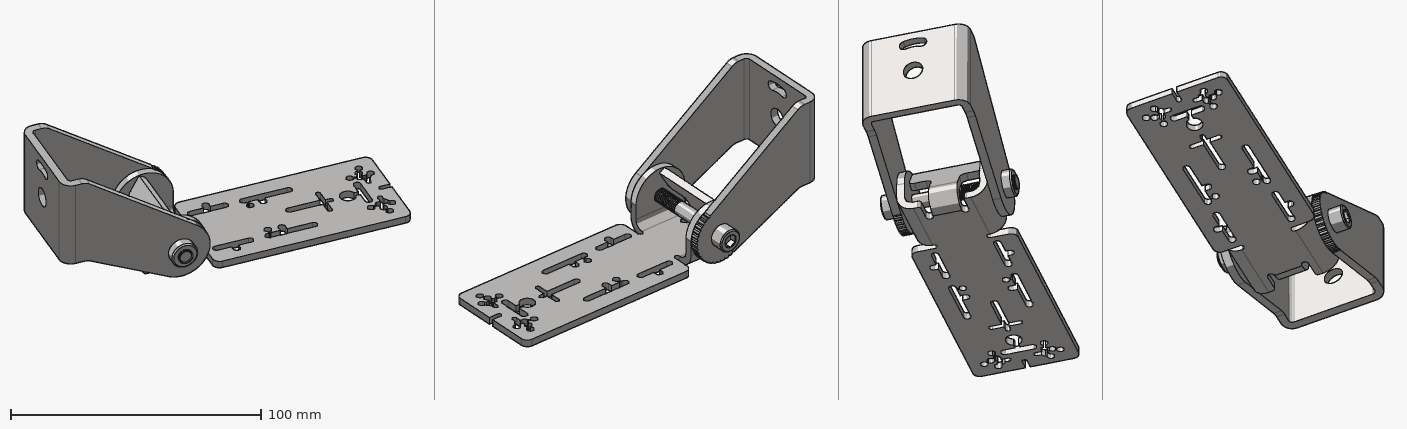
import cadquery as cq
import math

AXIS_HEIGHT = 13.41

BRACKET_WIDTH = 45.0
BRACKET_SHEET = 3.5
BRACKET_BEND = 5.0
OVERALL_LENGTH = 151.18
FLANGE_Y = -50.85
FLANGE_TOP = AXIS_HEIGHT + 44.5
FLANGE_BOTTOM = AXIS_HEIGHT + 6.25
ARM_END_RADIUS = 12.5
ARM_UPPER_CORNER_Y = -41.2
ARM_LOWER_CORNER_Y = -40.5
ARM_CORNER_FILLET = 6.0
FLANGE_HOLE_DIAMETER = 8.0
FLANGE_HOLE_Z = AXIS_HEIGHT + 25.4
ARC_SLOT_RADIUS = 13.9
ARC_SLOT_WIDTH = 4.0
ARC_SLOT_HALF_SPAN = 3.7
NOTCH_STEP = 10
NOTCH_FIRST_ANGLE = -120
NOTCH_LAST_ANGLE = 60
NOTCH_HALF_WIDTH = 0.6
NOTCH_DEPTH = 0.4

PLATE_END_Y = FLANGE_Y + OVERALL_LENGTH
PLATE_HALF_WIDTH = 22.2
PLATE_SHEET = 3.2
PLATE_CORNER = 3.0
PLATE_BEND = 7.0
EAR_OUTER_X = BRACKET_WIDTH / 2 - BRACKET_SHEET
EAR_RADIUS = 12.65
NECK_HALF_WIDTH = 10.5
NECK_SLOT_WIDTH = 2.25
EAR_FOOT_CORNER = 1.2

TONGUE_ANGLE = 60
TONGUE_HALF_WIDTH = 6.0
TONGUE_RELIEF_WIDTH = 3.0
TONGUE_BEND_Y = -4.95
TONGUE_RELIEF_END_Y = -4.0
FLAP_HALF_WIDTH = EAR_OUTER_X - PLATE_SHEET
FLAP_START = 7.4
FLAP_END = 17.6
FLAP_CORNER = 2.5

HOLE = 3.0
WIDE_SLOT = 3.0
NARROW_SLOT = 2.0
LINK_WIDTH = 1.8
THIN_NECK = 0.8
SIDE_SLOT_X = 13.05

BOLT_DIAMETER = 6.0
BOLT_LENGTH = 50.0
THREAD_LENGTH = 24.0
THREAD_PITCH = 1.0
THREAD_CREST = THREAD_PITCH / 8
THREAD_ROOT = THREAD_PITCH / 4
THREAD_DEPTH = 0.54 * THREAD_PITCH
HEAD_DIAMETER = 10.0
HEAD_HEIGHT = 6.0
HEAD_CHAMFER = 0.5
SOCKET_FLATS = 5.0
SOCKET_DEPTH = 3.0
SOCKET_COUNTERSINK = 0.3
NUT_DIAMETER = 11.2
NUT_HEIGHT = 4.1
NUT_CHAMFER = 0.6


def tangent_point(corner, radius, side):
    """Point where a line from corner touches the circle of this radius about the origin."""
    heading = math.atan2(corner[1], corner[0])
    angle = heading + side * math.acos(radius / math.hypot(*corner))
    return radius * math.cos(angle), radius * math.sin(angle)


def bolt_bore():
    """Cylinder along the hinge axis that drills the bolt hole."""
    return (
        cq.Workplane("YZ")
        .center(0, AXIS_HEIGHT)
        .circle(BOLT_DIAMETER / 2)
        .extrude(BOLT_LENGTH, both=True)
    )


def arm_outline():
    """Side outline of the bracket, as a solid wider than the bracket."""
    upper_corner = (ARM_UPPER_CORNER_Y, FLANGE_TOP - AXIS_HEIGHT)
    lower_corner = (ARM_LOWER_CORNER_Y, FLANGE_BOTTOM - AXIS_HEIGHT)
    upper_tangent = tangent_point(upper_corner, ARM_END_RADIUS, -1)
    lower_tangent = tangent_point(lower_corner, ARM_END_RADIUS, 1)
    outline = (
        cq.Workplane("YZ", origin=(0, 0, AXIS_HEIGHT))
        .moveTo(FLANGE_Y, upper_corner[1])
        .lineTo(*upper_corner)
        .lineTo(*upper_tangent)
        .threePointArc((ARM_END_RADIUS, 0), lower_tangent)
        .lineTo(*lower_corner)
        .lineTo(FLANGE_Y, lower_corner[1])
        .close()
        .extrude(BRACKET_WIDTH, both=True)
    )
    for corner_y, corner_z in (upper_corner, lower_corner):
        corner_edge = cq.selectors.NearestToPointSelector((0, corner_y, AXIS_HEIGHT + corner_z))
        outline = outline.edges("|X").edges(corner_edge).fillet(ARM_CORNER_FILLET)
    return outline


def bent_channel():
    """U-shaped sheet seen from above, open toward +Y."""
    height = FLANGE_TOP
    outer = (
        cq.Workplane("XY")
        .rect(BRACKET_WIDTH, -2 * FLANGE_Y)
        .extrude(height)
        .edges("|Z and <Y")
        .fillet(BRACKET_BEND)
    )
    inner = (
        cq.Workplane("XY")
        .center(0, BRACKET_SHEET)
        .rect(BRACKET_WIDTH - 2 * BRACKET_SHEET, -2 * FLANGE_Y)
        .extrude(height)
        .edges("|Z and <Y")
        .fillet(BRACKET_BEND - BRACKET_SHEET)
    )
    return outer.cut(inner)


def flange_openings():
    """Round hole and the arc slot concentric with it."""
    half_angle = math.asin(ARC_SLOT_HALF_SPAN / ARC_SLOT_RADIUS)
    outer = ARC_SLOT_RADIUS + ARC_SLOT_WIDTH / 2
    inner = ARC_SLOT_RADIUS - ARC_SLOT_WIDTH / 2
    sine = math.sin(half_angle)
    cosine = math.cos(half_angle)
    cap_x = ARC_SLOT_HALF_SPAN + ARC_SLOT_WIDTH / 2 * cosine
    cap_z = ARC_SLOT_RADIUS * cosine - ARC_SLOT_WIDTH / 2 * sine
    face = cq.Workplane("XZ", origin=(0, FLANGE_Y + BRACKET_SHEET, FLANGE_HOLE_Z))
    hole = face.circle(FLANGE_HOLE_DIAMETER / 2).extrude(BRACKET_SHEET)
    slot = (
        face.moveTo(-outer * sine, outer * cosine)
        .threePointArc((0, outer), (outer * sine, outer * cosine))
        .threePointArc((cap_x, cap_z), (inner * sine, inner * cosine))
        .threePointArc((0, inner), (-inner * sine, inner * cosine))
        .threePointArc((-cap_x, cap_z), (-outer * sine, outer * cosine))
        .close()
        .extrude(BRACKET_SHEET)
    )
    return hole.union(slot)


def angle_notches():
    """V notches of the angle scale around the rounded end of the -X arm."""
    notch = (
        cq.Workplane("YZ", origin=(-BRACKET_WIDTH / 2, 0, AXIS_HEIGHT))
        .polyline([
            (ARM_END_RADIUS - NOTCH_DEPTH, 0),
            (ARM_END_RADIUS + NOTCH_DEPTH, 2 * NOTCH_HALF_WIDTH),
            (ARM_END_RADIUS + NOTCH_DEPTH, -2 * NOTCH_HALF_WIDTH),
        ])
        .close()
        .extrude(BRACKET_SHEET)
    )
    axis_start = (0, 0, AXIS_HEIGHT)
    axis_end = (1, 0, AXIS_HEIGHT)
    notches = cq.Workplane("XY")
    for angle in range(NOTCH_FIRST_ANGLE, NOTCH_LAST_ANGLE + 1, NOTCH_STEP):
        notches.add(notch.rotate(axis_start, axis_end, angle))
    return notches.combine()


def make_bracket():
    bracket = bent_channel().intersect(arm_outline())
    bracket = bracket.cut(flange_openings()).cut(angle_notches())
    return bracket.cut(bolt_bore())


def flat_plate():
    """Slotted field of the plate and the neck that joins it to the hinge end."""
    field_start = EAR_RADIUS + NECK_SLOT_WIDTH
    field_length = PLATE_END_Y - field_start
    field = (
        cq.Workplane("XY")
        .center(0, field_start + field_length / 2)
        .rect(2 * PLATE_HALF_WIDTH, field_length)
        .extrude(PLATE_SHEET)
        .edges("|Z")
        .fillet(PLATE_CORNER)
    )
    neck = (
        cq.Workplane("XY")
        .center(0, EAR_RADIUS + NECK_SLOT_WIDTH / 2)
        .rect(2 * NECK_HALF_WIDTH + NECK_SLOT_WIDTH, NECK_SLOT_WIDTH)
        .extrude(PLATE_SHEET)
    )
    for side in (-1, 1):
        slot_end = (
            cq.Workplane("XY")
            .center(side * (NECK_HALF_WIDTH + NECK_SLOT_WIDTH / 2), EAR_RADIUS + NECK_SLOT_WIDTH / 2)
            .circle(NECK_SLOT_WIDTH / 2)
            .extrude(PLATE_SHEET)
        )
        neck = neck.cut(slot_end)
    return field.union(neck)


def hinge_channel():
    """Floor of the hinge with the two ears bent upward and rounded about the axis."""
    height = AXIS_HEIGHT + EAR_RADIUS
    outer = (
        cq.Workplane("XY")
        .rect(2 * EAR_OUTER_X, 2 * EAR_RADIUS)
        .extrude(height)
        .edges("|Y and <Z")
        .fillet(PLATE_BEND)
    )
    inner = (
        cq.Workplane("XY", origin=(0, 0, PLATE_SHEET))
        .rect(2 * (EAR_OUTER_X - PLATE_SHEET), 2 * EAR_RADIUS)
        .extrude(height)
        .edges("|Y and <Z")
        .fillet(PLATE_BEND - PLATE_SHEET)
    )
    ear_outline = (
        cq.Workplane("YZ")
        .moveTo(-EAR_RADIUS, 0)
        .lineTo(-EAR_RADIUS, AXIS_HEIGHT)
        .threePointArc((0, height), (EAR_RADIUS, AXIS_HEIGHT))
        .lineTo(EAR_RADIUS, 0)
        .close()
        .extrude(EAR_OUTER_X, both=True)
    )
    return outer.cut(inner).intersect(ear_outline).cut(tongue_opening())


def tongue_opening():
    """Gap in the floor for the tongue, with round-ended reliefs and rounded foot corners."""
    outer_x = TONGUE_HALF_WIDTH + TONGUE_RELIEF_WIDTH
    end_radius = TONGUE_RELIEF_WIDTH / 2
    end_center_y = TONGUE_RELIEF_END_Y - end_radius
    opening = (
        cq.Workplane("XY")
        .moveTo(-outer_x, -EAR_RADIUS)
        .lineTo(-outer_x, end_center_y)
        .threePointArc((-outer_x + end_radius, TONGUE_RELIEF_END_Y), (-TONGUE_HALF_WIDTH, end_center_y))
        .lineTo(TONGUE_HALF_WIDTH, end_center_y)
        .threePointArc((outer_x - end_radius, TONGUE_RELIEF_END_Y), (outer_x, end_center_y))
        .lineTo(outer_x, -EAR_RADIUS)
        .close()
        .extrude(PLATE_SHEET)
    )
    for side in (-1, 1):
        foot_x = side * outer_x
        corner = (
            cq.Workplane("XY")
            .moveTo(foot_x, -EAR_RADIUS)
            .lineTo(foot_x + side * EAR_FOOT_CORNER, -EAR_RADIUS)
            .radiusArc((foot_x, -EAR_RADIUS + EAR_FOOT_CORNER), side * EAR_FOOT_CORNER)
            .close()
            .extrude(PLATE_SHEET)
        )
        opening = opening.union(corner)
    return opening


def bend_point(radius, angle):
    """Point on the tongue bend, with the angle in degrees swept from the floor."""
    swept = math.radians(angle)
    return TONGUE_BEND_Y - radius * math.sin(swept), PLATE_BEND - radius * math.cos(swept)


def make_tongue():
    """Strip that curls up from the floor and leans back, ending in a wide flap."""
    sweep = 180 - TONGUE_ANGLE
    inner_radius = PLATE_BEND - PLATE_SHEET
    curl = (
        cq.Workplane("YZ")
        .moveTo(TONGUE_RELIEF_END_Y, 0)
        .lineTo(TONGUE_BEND_Y, 0)
        .threePointArc(bend_point(PLATE_BEND, sweep / 2), bend_point(PLATE_BEND, sweep))
        .lineTo(*bend_point(inner_radius, sweep))
        .threePointArc(bend_point(inner_radius, sweep / 2), bend_point(inner_radius, 0))
        .lineTo(TONGUE_RELIEF_END_Y, PLATE_SHEET)
        .close()
        .extrude(TONGUE_HALF_WIDTH, both=True)
    )
    lean = math.radians(TONGUE_ANGLE)
    front_face = cq.Plane(
        origin=(0, *bend_point(PLATE_BEND, sweep)),
        xDir=(1, 0, 0),
        normal=(0, -math.sin(lean), math.cos(lean)),
    )
    flap = (
        cq.Workplane(front_face)
        .moveTo(-TONGUE_HALF_WIDTH, 0)
        .lineTo(-TONGUE_HALF_WIDTH, FLAP_START - FLAP_CORNER)
        .radiusArc((-TONGUE_HALF_WIDTH - FLAP_CORNER, FLAP_START), -FLAP_CORNER)
        .lineTo(-FLAP_HALF_WIDTH + FLAP_CORNER, FLAP_START)
        .radiusArc((-FLAP_HALF_WIDTH, FLAP_START + FLAP_CORNER), FLAP_CORNER)
        .lineTo(-FLAP_HALF_WIDTH, FLAP_END)
        .lineTo(FLAP_HALF_WIDTH, FLAP_END)
        .lineTo(FLAP_HALF_WIDTH, FLAP_START + FLAP_CORNER)
        .radiusArc((FLAP_HALF_WIDTH - FLAP_CORNER, FLAP_START), FLAP_CORNER)
        .lineTo(TONGUE_HALF_WIDTH + FLAP_CORNER, FLAP_START)
        .radiusArc((TONGUE_HALF_WIDTH, FLAP_START - FLAP_CORNER), -FLAP_CORNER)
        .lineTo(TONGUE_HALF_WIDTH, 0)
        .close()
        .extrude(-PLATE_SHEET)
    )
    return curl.union(flap)


def round_hole(center, diameter):
    return cq.Workplane("XY").center(*center).circle(diameter / 2).extrude(PLATE_SHEET)


def round_slot(start, end, width):
    """Slot cutter whose rounded tips reach exactly to the points start and end."""
    run = (end[0] - start[0], end[1] - start[1])
    return (
        cq.Workplane("XY")
        .center((start[0] + end[0]) / 2, (start[1] + end[1]) / 2)
        .slot2D(math.hypot(*run), width, math.degrees(math.atan2(run[1], run[0])))
        .extrude(PLATE_SHEET)
    )


def center_openings():
    """Openings on the centre line: end slit, T-shaped keyhole and cross."""
    slit_depth = 5.2
    bar_y = 88.1
    bar_reach = 7.4
    keyhole = (0, 81.6)
    keyhole_diameter = 6.6
    cross_y = 71.25
    cross_reach = 7.0
    cross_top = 75.2
    cross_bottom = 54.8
    return [
        round_slot((0, PLATE_END_Y + NARROW_SLOT), (0, PLATE_END_Y - slit_depth), NARROW_SLOT),
        round_slot((-bar_reach, bar_y), (bar_reach, bar_y), WIDE_SLOT),
        round_slot((0, bar_y), keyhole, NARROW_SLOT),
        round_hole(keyhole, keyhole_diameter),
        round_slot((-cross_reach, cross_y), (cross_reach, cross_y), NARROW_SLOT),
        round_slot((0, cross_top), (0, cross_y - WIDE_SLOT), NARROW_SLOT),
        round_slot((0, cross_y + NARROW_SLOT / 2), (0, cross_bottom), WIDE_SLOT),
    ]


def side_slots():
    """Upper and lower long slots of the -X side with their branches."""
    upper_top = 62.9
    upper_bottom = 40.3
    branch_y = 49.0
    branch_tip_x = -8.1
    side_hole = (-9.05, 43.1)
    lower_top = 35.2
    lower_bottom = 17.7
    lower_branch_y = 26.7
    lower_branch_tip_x = -17.6
    return [
        round_slot((-SIDE_SLOT_X, upper_top), (-SIDE_SLOT_X, upper_bottom), WIDE_SLOT),
        round_slot((-SIDE_SLOT_X, branch_y), (branch_tip_x, branch_y), WIDE_SLOT),
        round_slot((-SIDE_SLOT_X, side_hole[1]), side_hole, THIN_NECK),
        round_hole(side_hole, HOLE),
        round_slot((-SIDE_SLOT_X, lower_top), (-SIDE_SLOT_X, lower_bottom), WIDE_SLOT),
        round_slot((-SIDE_SLOT_X, lower_branch_y), (lower_branch_tip_x, lower_branch_y), WIDE_SLOT),
    ]


def corner_cluster():
    """Linked holes near the -X end corner."""
    top_hole = (-11.0, 96.05)
    outer_hole = (-15.95, 93.05)
    middle_hole = (-12.9, 91.7)
    bottom_hole = (-11.0, 87.1)
    upper_hub = (-9.1, 93.7)
    lower_hub = (-10.0, 91.2)
    slot_tip = (-4.9, 93.1)
    link_x = (upper_hub[0] + lower_hub[0]) / 2
    slot_root = (upper_hub[0], slot_tip[1])
    return [
        *[
            round_hole(center, HOLE)
            for center in (top_hole, outer_hole, middle_hole, bottom_hole, upper_hub, lower_hub)
        ],
        round_slot(slot_root, slot_tip, NARROW_SLOT),
        round_slot(top_hole, upper_hub, NARROW_SLOT),
        round_slot(middle_hole, lower_hub, LINK_WIDTH),
        round_slot((link_x, top_hole[1] - HOLE / 2), (link_x, lower_hub[1] - HOLE / 2), NARROW_SLOT),
        round_slot(outer_hole, middle_hole, THIN_NECK),
        round_slot(lower_hub, bottom_hole, THIN_NECK),
    ]


def make_plate():
    plate = flat_plate().union(hinge_channel()).union(make_tongue())
    for opening in center_openings():
        plate = plate.cut(opening)
    for opening in side_slots() + corner_cluster():
        plate = plate.cut(opening).cut(opening.mirror("YZ"))
    return plate.cut(bolt_bore())


def make_bolt():
    """Socket-head bolt along X with its thread as ring grooves."""
    radius = BOLT_DIAMETER / 2
    seat_x = -BRACKET_WIDTH / 2
    tip_x = seat_x + BOLT_LENGTH
    thread_start = tip_x - THREAD_LENGTH
    profile = (
        cq.Workplane("XY", origin=(0, 0, AXIS_HEIGHT))
        .moveTo(seat_x, 0)
        .lineTo(seat_x, radius)
        .lineTo(thread_start, radius)
    )
    for turn in range(round(THREAD_LENGTH / THREAD_PITCH)):
        groove_start = thread_start + turn * THREAD_PITCH
        groove_end = groove_start + THREAD_PITCH - THREAD_CREST
        root_middle = (groove_start + groove_end) / 2
        profile = (
            profile.lineTo(root_middle - THREAD_ROOT / 2, radius - THREAD_DEPTH)
            .lineTo(root_middle + THREAD_ROOT / 2, radius - THREAD_DEPTH)
            .lineTo(groove_end, radius)
            .lineTo(groove_start + THREAD_PITCH, radius)
        )
    shank = profile.lineTo(tip_x, 0).close().revolve(360, (0, 0, 0), (1, 0, 0))
    head = (
        cq.Workplane("YZ", origin=(seat_x - HEAD_HEIGHT, 0, AXIS_HEIGHT))
        .circle(HEAD_DIAMETER / 2)
        .extrude(HEAD_HEIGHT)
        .faces("<X")
        .chamfer(HEAD_CHAMFER)
    )
    socket_corners = SOCKET_FLATS / math.cos(math.pi / 6)
    socket = (
        cq.Workplane("YZ", origin=(seat_x - HEAD_HEIGHT, 0, AXIS_HEIGHT))
        .transformed(rotate=(0, 0, 90))
        .polygon(6, socket_corners)
        .extrude(SOCKET_DEPTH)
    )
    countersink = (
        cq.Workplane("YZ", origin=(seat_x - HEAD_HEIGHT, 0, AXIS_HEIGHT))
        .circle(socket_corners / 2)
        .workplane(offset=SOCKET_COUNTERSINK)
        .circle(SOCKET_FLATS / 2)
        .loft()
    )
    return head.cut(socket).cut(countersink).union(shank)


def make_nut():
    """Round nut against the +X arm."""
    nut = (
        cq.Workplane("YZ", origin=(BRACKET_WIDTH / 2, 0, AXIS_HEIGHT))
        .circle(NUT_DIAMETER / 2)
        .extrude(NUT_HEIGHT)
        .faces(">X")
        .chamfer(NUT_CHAMFER)
    )
    return nut.cut(bolt_bore())


bracket = make_bracket()
plate = make_plate()
bolt = make_bolt()
nut = make_nut()
result = cq.Compound.makeCompound([bracket.val(), plate.val(), bolt.val(), nut.val()])